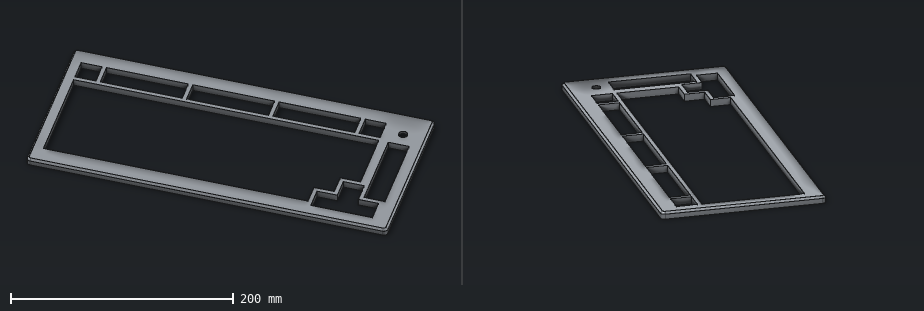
import cadquery as cq

LENGTH = 338.77
WIDTH = 154.51
THICKNESS = 7.0
CORNER_RADIUS = 4.0
TOP_CHAMFER = 2.0

UNIT = 19.05
GAP = UNIT / 4
CLEARANCE = 0.45
LEFT_MARGIN = 11.25
BACK_MARGIN = 17.25
HALF_CLEARANCE = CLEARANCE / 2

GRID_LEFT = -LENGTH / 2 + LEFT_MARGIN + HALF_CLEARANCE
GRID_BACK = WIDTH / 2 - BACK_MARGIN - HALF_CLEARANCE

FUNCTION_ROW_KEYS = [1, 4, 4, 4, 1]
MAIN_ROWS = 5
MAIN_COLUMNS = 15
MAIN_STEPS = 2
NAVIGATION_ROWS = 4
ARROW_COLUMNS = 3

MAIN_BACK = GRID_BACK - UNIT - GAP
MAIN_FRONT = MAIN_BACK - MAIN_ROWS * UNIT
NAVIGATION_LEFT = GRID_LEFT + MAIN_COLUMNS * UNIT + 2 * GAP

KNOB_HOLE_DIAMETER = 8.0
KNOB_WEB = 3.0


def make_plate():
    """Rounded rectangular plate with its top rim chamfered, underside at Z = 0."""
    plate = cq.Workplane("XY").box(LENGTH, WIDTH, THICKNESS, centered=(True, True, False))
    plate = plate.edges("|Z").fillet(CORNER_RADIUS)
    return plate.faces(">Z").edges().chamfer(TOP_CHAMFER)


def key_opening(left, back, columns, rows):
    """Cutter for a block of keys, grown by the clearance on every side."""
    length = columns * UNIT + CLEARANCE
    width = rows * UNIT + CLEARANCE
    corner = (left - HALF_CLEARANCE, back + HALF_CLEARANCE - width, 0)
    return cq.Workplane("XY").box(length, width, THICKNESS, centered=False).translate(corner)


def cut_function_row(plate):
    """Row of separate openings along the back edge, one gap apart."""
    left = GRID_LEFT
    for keys in FUNCTION_ROW_KEYS:
        plate = plate.cut(key_opening(left, GRID_BACK, keys, 1))
        left += keys * UNIT + GAP
    return plate


def cut_main_block(plate):
    """Large opening whose last two rows each step in by one key at the right."""
    full_rows = MAIN_ROWS - MAIN_STEPS
    for step in range(MAIN_STEPS + 1):
        opening = key_opening(GRID_LEFT, MAIN_BACK, MAIN_COLUMNS - step, full_rows + step)
        plate = plate.cut(opening)
    return plate


def cut_navigation_column(plate):
    """Single-key-wide opening to the right of the main block."""
    return plate.cut(key_opening(NAVIGATION_LEFT, MAIN_BACK, 1, NAVIGATION_ROWS))


def cut_arrow_cluster(plate):
    """Inverted-T opening, set one gap right and one gap forward of the main block."""
    left = GRID_LEFT + (MAIN_COLUMNS - MAIN_STEPS) * UNIT + GAP
    front = MAIN_FRONT - GAP
    plate = plate.cut(key_opening(left, front + UNIT, ARROW_COLUMNS, 1))
    return plate.cut(key_opening(left + UNIT, front + 2 * UNIT, 1, 2))


def cut_knob_seat(plate):
    """Knob hole in the function row, above the navigation column, with a key-sized pocket below."""
    pocket = key_opening(NAVIGATION_LEFT, GRID_BACK, 1, 1).translate((0, 0, -KNOB_WEB))
    hole = cq.Workplane("XY").circle(KNOB_HOLE_DIAMETER / 2).extrude(THICKNESS)
    centre = (NAVIGATION_LEFT + UNIT / 2, GRID_BACK - UNIT / 2, 0)
    return plate.cut(pocket).cut(hole.translate(centre))


result = make_plate()
result = cut_function_row(result)
result = cut_main_block(result)
result = cut_navigation_column(result)
result = cut_arrow_cluster(result)
result = cut_knob_seat(result)